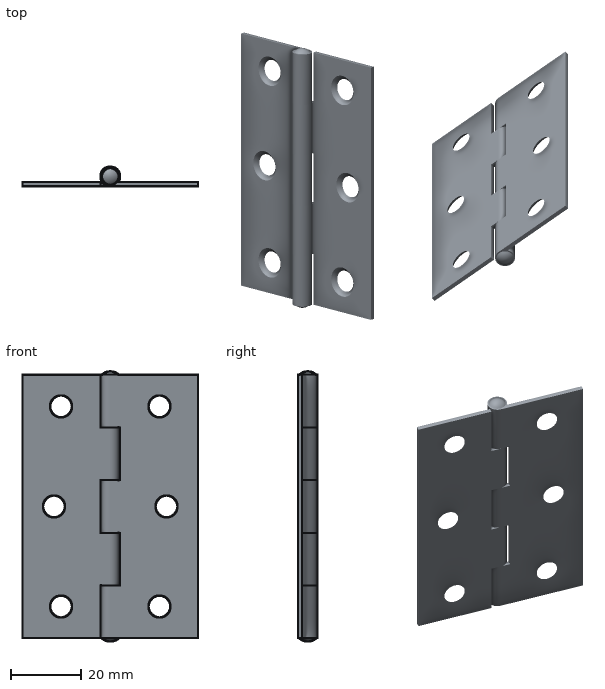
import cadquery as cq
import math

HINGE_WIDTH = 50.0
TOTAL_HEIGHT = 77.0
DOME_HEIGHT = 1.0
LEAF_HEIGHT = TOTAL_HEIGHT - 2 * DOME_HEIGHT
LEAF_WIDTH = HINGE_WIDTH / 2
LEAF_THICKNESS = 1.2

BARREL_DIAMETER = 5.6
BARREL_RADIUS = BARREL_DIAMETER / 2
PIN_RADIUS = 2.4
FRONT_FACE_Y = -BARREL_RADIUS
WEB_HEIGHT = 0.5
KNUCKLE_COUNT = 5
KNUCKLE_HEIGHT = LEAF_HEIGHT / KNUCKLE_COUNT

HOLE_DIAMETER = 6.15
COUNTERSINK_ANGLE = 90
OUTER_HOLE_X = 14.0
MIDDLE_HOLE_X = 16.0
OUTER_HOLE_Z = 28.5

RIGHT_KNUCKLES = range(0, KNUCKLE_COUNT, 2)
LEFT_KNUCKLES = range(1, KNUCKLE_COUNT, 2)


def knuckle_bottom(index):
    return -LEAF_HEIGHT / 2 + index * KNUCKLE_HEIGHT


def make_screw_hole():
    """Cone through the leaf from its front face, widening toward the back."""
    front_radius = HOLE_DIAMETER / 2
    back_radius = front_radius + LEAF_THICKNESS * math.tan(math.radians(COUNTERSINK_ANGLE / 2))
    return cq.Workplane(
        cq.Solid.makeCone(
            front_radius, back_radius, LEAF_THICKNESS, pnt=cq.Vector(0, 0, 0), dir=cq.Vector(0, 1, 0)
        )
    )


def make_plate(side):
    """Plain leaf plate with countersunk screw holes; side is +1 for +X and -1 for -X."""
    plate = cq.Workplane("XY").box(LEAF_WIDTH, LEAF_THICKNESS, LEAF_HEIGHT)
    plate = plate.translate((side * LEAF_WIDTH / 2, FRONT_FACE_Y + LEAF_THICKNESS / 2, 0))
    hole_places = [
        (side * OUTER_HOLE_X, OUTER_HOLE_Z),
        (side * MIDDLE_HOLE_X, 0),
        (side * OUTER_HOLE_X, -OUTER_HOLE_Z),
    ]
    for x, z in hole_places:
        plate = plate.cut(make_screw_hole().translate((x, FRONT_FACE_Y, z)))
    return plate


def make_knuckle(index):
    return (
        cq.Workplane("XY", origin=(0, 0, knuckle_bottom(index)))
        .circle(BARREL_RADIUS)
        .extrude(KNUCKLE_HEIGHT)
    )


def make_web(index):
    """Fill under a left knuckle, with a flat wall that rises from the leaf to meet the barrel."""
    web_top = FRONT_FACE_Y + LEAF_THICKNESS + WEB_HEIGHT
    wall_x = -math.sqrt(BARREL_RADIUS**2 - web_top**2)
    return (
        cq.Workplane("XY", origin=(0, 0, knuckle_bottom(index)))
        .moveTo(wall_x, FRONT_FACE_Y)
        .lineTo(0, FRONT_FACE_Y)
        .lineTo(0, web_top)
        .lineTo(wall_x, web_top)
        .close()
        .extrude(KNUCKLE_HEIGHT)
    )


def make_recess(index):
    """Square clearance around the other leaf's knuckle."""
    return (
        cq.Workplane("XY", origin=(0, 0, knuckle_bottom(index)))
        .rect(2 * BARREL_RADIUS, 2 * BARREL_RADIUS)
        .extrude(KNUCKLE_HEIGHT)
    )


def make_pin():
    """Full-length pin with a shallow spherical dome on each end."""
    half_shank = LEAF_HEIGHT / 2
    half_total = TOTAL_HEIGHT / 2
    dome_radius = (PIN_RADIUS**2 + DOME_HEIGHT**2) / (2 * DOME_HEIGHT)
    shank = cq.Workplane("XY").circle(PIN_RADIUS).extrude(half_shank, both=True)
    for end in (1, -1):
        ball = cq.Workplane("XY").sphere(dome_radius).translate((0, 0, end * (half_total - dome_radius)))
        cap_envelope = (
            cq.Workplane("XY", origin=(0, 0, end * half_shank))
            .circle(BARREL_RADIUS)
            .extrude(end * DOME_HEIGHT)
        )
        shank = shank.union(ball.intersect(cap_envelope))
    return shank


def make_leaf(side, own_knuckles, other_knuckles):
    leaf = make_plate(side)
    for index in other_knuckles:
        leaf = leaf.cut(make_recess(index))
    for index in own_knuckles:
        leaf = leaf.union(make_knuckle(index))
    return leaf


pin = make_pin()
left_leaf = make_leaf(-1, LEFT_KNUCKLES, RIGHT_KNUCKLES)
for index in LEFT_KNUCKLES:
    left_leaf = left_leaf.union(make_web(index))
left_leaf = left_leaf.cut(pin)
right_leaf = make_leaf(1, RIGHT_KNUCKLES, LEFT_KNUCKLES).union(pin)

result = cq.Compound.makeCompound([left_leaf.val(), right_leaf.val()])